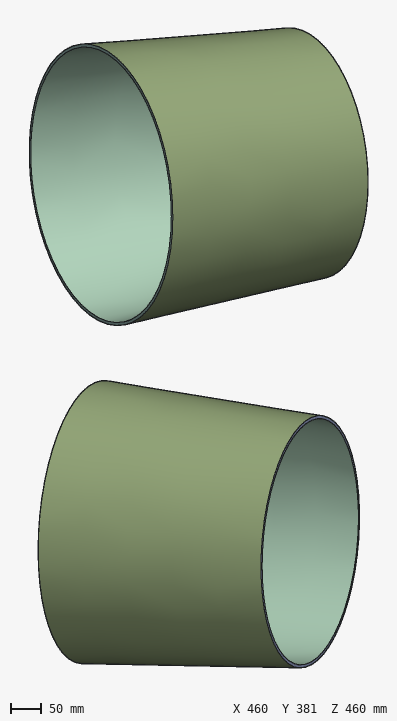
import cadquery as cq

large_outer_diameter = 460.0
small_outer_diameter = 410.0
wall = 5.0
length = 381.0

large_outer_radius = large_outer_diameter / 2
small_outer_radius = small_outer_diameter / 2

wall_section = (
    cq.Workplane("XY")
    .moveTo(large_outer_radius - wall, 0)
    .lineTo(large_outer_radius, 0)
    .lineTo(small_outer_radius, length)
    .lineTo(small_outer_radius - wall, length)
    .close()
)

result = wall_section.revolve(360, (0, 0, 0), (0, 1, 0))